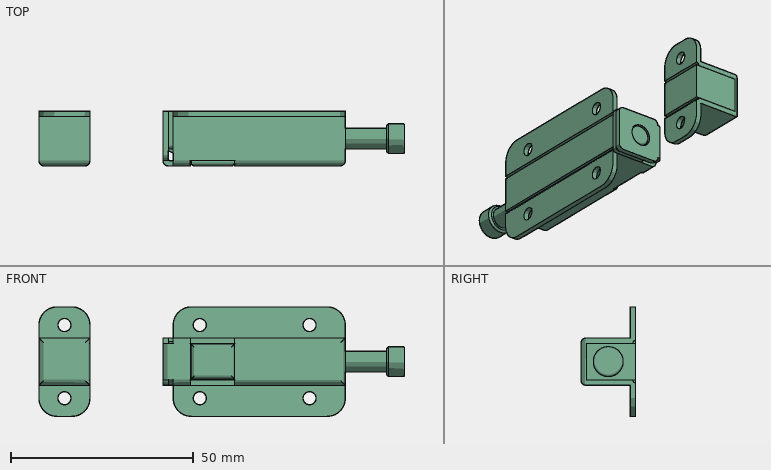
import cadquery as cq


sheet = 1.5
total_depth = 15.0
flange_height = 30.0
channel_height = 13.0
flange_corner_radius = 5.0
back_bend_radius = 0.8
edge_radius = sheet
core_height = channel_height - 2 * sheet
core_depth = total_depth - sheet
screw_hole_diameter = 3.5
screw_hole_spacing_z = 20.0

strike_length = 14.0

latch_start = 36.7
latch_length = 47.1
latch_end = latch_start + latch_length
first_screw_offset = 7.3
screw_hole_spacing_x = 30.0

flap_start = 33.9
flap_end = flap_start + sheet
flap_corner_radius = 1.5
inner_bend_radius = 0.4
flap_hole_diameter = 6.1

lever_shoulder_depth = 10.4
lever_corner_radius = 1.0
lever_lip_near_depth = 10.8
lever_lip_far_depth = 11.5

window_start = 41.4
window_length = 12.1
button_clearance = 0.2
button_fillet = 1.0

bolt_axis_depth = total_depth / 2
bolt_diameter = 5.8
bolt_tip_fillet = 0.8
knob_start = 95.0
knob_end = 100.0
knob_diameter = 8.2
knob_front_chamfer = 0.6
knob_end_fillet = 0.5


def block(x_start, x_end, depth_start, depth_end, height):
    """Box between two X positions and two depths behind Y = 0, centred on Z = 0."""
    return cq.Workplane("XY").box(
        x_end - x_start, depth_end - depth_start, height, centered=(False, False, True)
    ).translate((x_start, -depth_end, 0))


def rod(x_start, x_end, diameter):
    """Cylinder on the bolt axis."""
    return (
        cq.Workplane("YZ", origin=(x_start, -bolt_axis_depth, 0))
        .circle(diameter / 2)
        .extrude(x_end - x_start)
    )


def flange(x_start, length, hole_positions):
    """Mounting plate with rounded corners and a pair of screw holes at each given X position."""
    hole_points = [
        (x, side * screw_hole_spacing_z / 2) for x in hole_positions for side in (-1, 1)
    ]
    holes = (
        cq.Workplane("XZ").pushPoints(hole_points).circle(screw_hole_diameter / 2).extrude(sheet)
    )
    plate = block(x_start, x_start + length, 0, sheet, flange_height)
    return plate.edges("|Y").fillet(flange_corner_radius).cut(holes)


def back_bends(x_start, length):
    """Material lost where the channel walls bend outward into the flange, on both sides."""
    bends = cq.Workplane("YZ", origin=(x_start, 0, 0))
    for side in (-1, 1):
        inner_z = side * core_height / 2
        outer_z = inner_z + side * back_bend_radius
        bends = (
            bends.moveTo(0, inner_z)
            .lineTo(-back_bend_radius, inner_z)
            .radiusArc((0, outer_z), side * back_bend_radius)
            .close()
        )
    return bends.extrude(length)


def hat_cover(x_start, length, hole_positions, rounded_edges):
    """Hat-shaped sheet cover: a channel with rounded front edges on a screwed flange."""
    x_end = x_start + length
    channel = block(x_start, x_end, 0, total_depth, channel_height)
    channel = channel.faces("<Y").edges(rounded_edges).fillet(edge_radius)
    cover = channel.union(flange(x_start, length, hole_positions))
    cover = cover.cut(block(x_start, x_end, 0, core_depth, core_height))
    return cover.cut(back_bends(x_start, length))


def rounded_end_plate(x_start, x_end, depth, radius):
    """Plate across the end of the channel with four rounded corners."""
    return block(x_start, x_end, 0, depth, channel_height).edges("|X").fillet(radius)


def end_flap():
    """Sheet strip that leaves the cover front and folds back across its end."""
    fold = (
        block(flap_start, latch_start, bolt_axis_depth, total_depth, core_height)
        .edges("<X and <Y")
        .fillet(edge_radius)
    )
    fold_inside = (
        block(flap_end, latch_start, 0, core_depth, core_height)
        .edges("<X and <Y")
        .fillet(inner_bend_radius)
    )
    flap = rounded_end_plate(flap_start, flap_end, core_depth, flap_corner_radius)
    return flap.union(fold.cut(fold_inside)).cut(rod(flap_start, flap_end, flap_hole_diameter))


def make_latch_cover():
    """Hat cover with the button window across its front and the folded end flap."""
    hole_positions = [latch_start + first_screw_offset + i * screw_hole_spacing_x for i in range(2)]
    cover = hat_cover(latch_start, latch_length, hole_positions, "|X or >X")
    window = block(
        window_start, window_start + window_length, core_depth, total_depth, channel_height
    )
    return cover.cut(window).union(end_flap())


def make_latch_core():
    """Block filling the latch channel, bored through for the bolt."""
    core = block(latch_start, latch_end, 0, core_depth, core_height)
    return core.cut(rod(latch_start, latch_end, bolt_diameter))


def make_lever():
    """Plate behind the flap with a narrower, sloping front lip and a hole for the bolt."""
    plate = rounded_end_plate(flap_end, latch_start, lever_shoulder_depth, lever_corner_radius)
    lip_height = channel_height - 2 * lever_corner_radius
    lip = (
        cq.Workplane("XY", origin=(0, 0, -lip_height / 2))
        .moveTo(flap_end, -bolt_axis_depth)
        .lineTo(latch_start, -bolt_axis_depth)
        .lineTo(latch_start, -lever_lip_far_depth)
        .lineTo(flap_end, -lever_lip_near_depth)
        .close()
        .extrude(lip_height)
    )
    return plate.union(lip).cut(rod(flap_end, latch_start, bolt_diameter))


def make_button():
    """Push button with rounded front edges and small gaps at its -X end and sides."""
    button = block(
        window_start + button_clearance,
        window_start + window_length,
        core_depth,
        total_depth,
        core_height - 2 * button_clearance,
    )
    return button.faces("<Y").edges().fillet(button_fillet)


def make_knob():
    """Pull knob on the end of the bolt."""
    knob = rod(knob_start, knob_end, knob_diameter)
    return knob.faces("<X").chamfer(knob_front_chamfer).faces(">X").edges().fillet(knob_end_fillet)


strike_cover = hat_cover(0, strike_length, [strike_length / 2], "|X or |Z")
strike_core = block(0, strike_length, 0, core_depth, core_height)
latch_cover = make_latch_cover()
latch_core = make_latch_core()
lever = make_lever()
button = make_button()
bolt = rod(flap_start, knob_start, bolt_diameter).faces("<X").edges().fillet(bolt_tip_fillet)
knob = make_knob()

result = cq.Compound.makeCompound(
    [
        strike_cover.val(),
        strike_core.val(),
        latch_cover.val(),
        latch_core.val(),
        lever.val(),
        button.val(),
        bolt.val(),
        knob.val(),
    ]
)